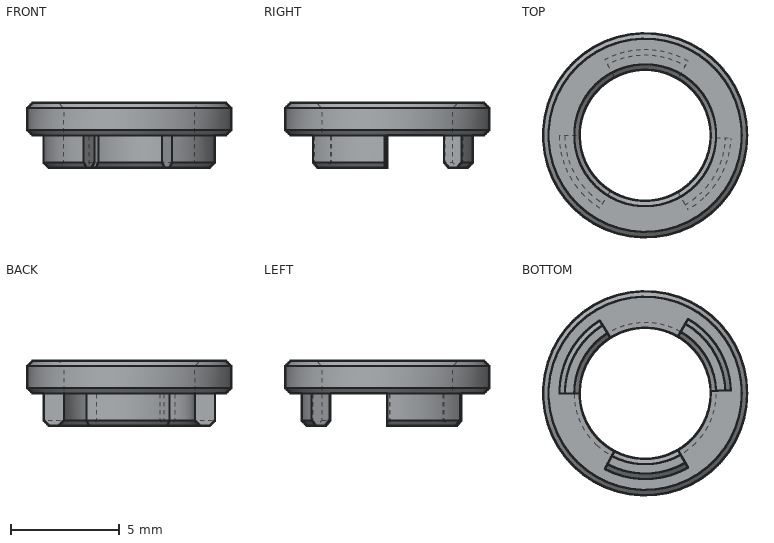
import cadquery as cq

outer_diameter = 9.4
bore_diameter = 6.03
flange_height = 1.5
edge_chamfer = 0.25

total_height = 3.0
tab_outer_diameter = 7.9
tab_count = 3
tab_angle = 58.0
first_tab_start = 60.0

outer_radius = outer_diameter / 2
bore_radius = bore_diameter / 2
tab_outer_radius = tab_outer_diameter / 2
tab_height = total_height - flange_height


def revolve_section(points, angle):
    """Revolve a closed (radius, height) outline counterclockwise about Z, starting at +X."""
    section = cq.Workplane("XZ").polyline(points).close()
    return section.revolve(angle, (0, 0, 0), (0, 1, 0))


def make_flange():
    """Bored ring with both rim edges and the upper bore edge chamfered."""
    points = [
        (bore_radius, tab_height),
        (outer_radius - edge_chamfer, tab_height),
        (outer_radius, tab_height + edge_chamfer),
        (outer_radius, total_height - edge_chamfer),
        (outer_radius - edge_chamfer, total_height),
        (bore_radius + edge_chamfer, total_height),
        (bore_radius, total_height - edge_chamfer),
    ]
    return revolve_section(points, 360)


def make_tab(start_angle):
    """Ring sector with both lower curved edges chamfered."""
    points = [
        (bore_radius + edge_chamfer, 0),
        (tab_outer_radius - edge_chamfer, 0),
        (tab_outer_radius, edge_chamfer),
        (tab_outer_radius, tab_height),
        (bore_radius, tab_height),
        (bore_radius, edge_chamfer),
    ]
    return revolve_section(points, tab_angle).rotate((0, 0, 0), (0, 0, 1), start_angle)


result = make_flange()
for index in range(tab_count):
    result = result.union(make_tab(first_tab_start + index * 360 / tab_count))